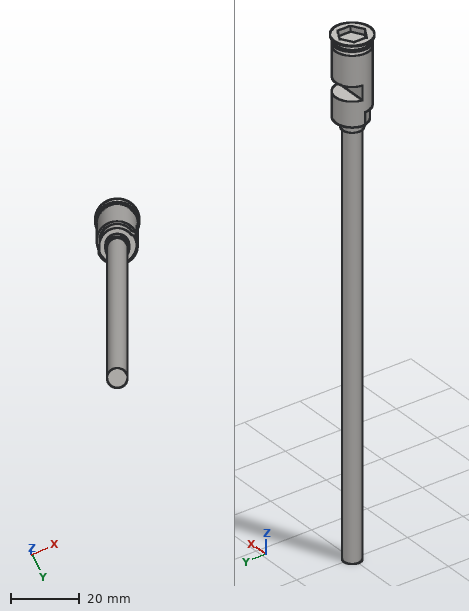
import cadquery as cq
import math

total_length = 178.5
head_length = 28.5
collar_length = 3.0

rod_diameter = 6.0
collar_diameter = 7.0

body_diameter = 12.0
body_bottom_chamfer = 0.4
rim_diameter = 13.0
rim_thickness = 0.4
groove_diameter = 11.3
groove_height = 1.35
ring_height = 0.7

hex_sides = 6
hex_across_flats = 8.0
hex_depth = 2.0

slot_top_depth = 14.4
slot_height = 5.0
slot_floor_y = 0.65

relief_top_depth = 23.8
relief_diameter = 10.4
relief_corner_radius = 2.0

body_radius = body_diameter / 2
rim_radius = rim_diameter / 2
groove_radius = groove_diameter / 2
collar_radius = collar_diameter / 2
rod_radius = rod_diameter / 2
head_bottom = total_length - head_length


def make_turned_blank():
    """Revolve the half profile about Z; a ring parts two round-bottomed grooves under the rim."""
    collar_bottom = head_bottom - collar_length
    rim_bottom = total_length - rim_thickness
    ring_top = rim_bottom - groove_height
    ring_bottom = ring_top - ring_height
    body_top = ring_bottom - groove_height
    lower_groove_floor = (groove_radius, (body_top + ring_bottom) / 2)
    upper_groove_floor = (groove_radius, (ring_top + rim_bottom) / 2)
    profile = (
        cq.Workplane("XZ")
        .lineTo(rod_radius, 0)
        .lineTo(rod_radius, collar_bottom)
        .lineTo(collar_radius, collar_bottom)
        .lineTo(collar_radius, head_bottom)
        .lineTo(body_radius - body_bottom_chamfer, head_bottom)
        .lineTo(body_radius, head_bottom + body_bottom_chamfer)
        .lineTo(body_radius, body_top)
        .threePointArc(lower_groove_floor, (body_radius, ring_bottom))
        .lineTo(body_radius, ring_top)
        .threePointArc(upper_groove_floor, (rim_radius, rim_bottom))
        .lineTo(rim_radius, total_length)
        .lineTo(0, total_length)
        .close()
    )
    return profile.revolve(360, (0, 0), (0, 1))


def make_hex_socket():
    """Hexagonal prism with its corners on the Y axis."""
    hex_across_corners = hex_across_flats / math.cos(math.pi / hex_sides)
    return (
        cq.Workplane("XY", origin=(0, 0, total_length - hex_depth))
        .transformed(rotate=(0, 0, 90))
        .polygon(hex_sides, hex_across_corners)
        .extrude(hex_depth)
    )


def make_slot():
    """Box that opens the +Y side of the body across its full width."""
    slot_depth = rim_radius - slot_floor_y
    slot_bottom = total_length - slot_top_depth - slot_height
    return (
        cq.Workplane("XY", origin=(0, slot_floor_y, slot_bottom))
        .box(rim_diameter, slot_depth, slot_height, centered=(True, False, False))
    )


def make_relief():
    """Half ring that reduces the foot of the head to a smaller radius where Y < 0.

    Its inner corners are rounded; the ring reaches past the rim to leave room for the rounding.
    """
    outer_radius = rim_radius + relief_corner_radius
    relief_height = head_length - relief_top_depth
    foot = cq.Workplane("XY", origin=(0, 0, head_bottom))
    ring = foot.circle(outer_radius).circle(relief_diameter / 2).extrude(relief_height)
    front_half = (
        foot.box(2 * outer_radius, outer_radius, relief_height, centered=(True, False, False))
        .translate((0, -outer_radius, 0))
    )
    inner_corners = cq.selectors.BoxSelector(
        (-rim_radius, -rim_radius, head_bottom),
        (rim_radius, rim_radius, head_bottom + relief_height),
    )
    half_ring = ring.intersect(front_half)
    return half_ring.edges("|Z").edges(inner_corners).fillet(relief_corner_radius)


blank = make_turned_blank()
result = blank.cut(make_hex_socket()).cut(make_slot()).cut(make_relief())